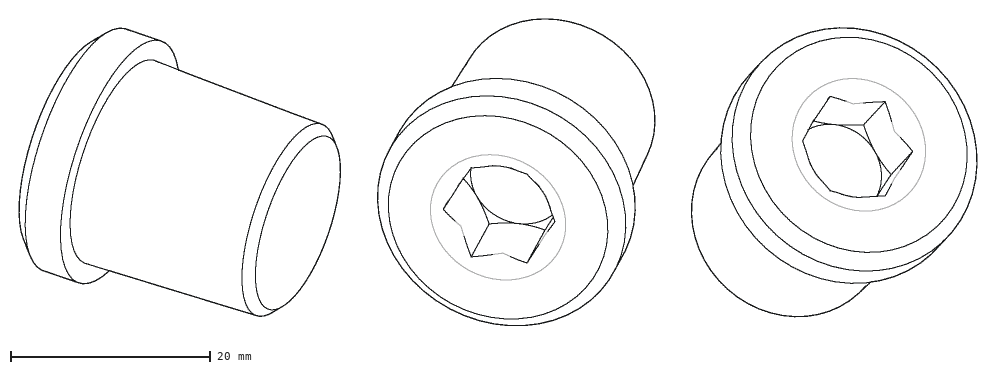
import cadquery as cq
import math

length = 25.7
head_diameter = 25.7

head_length = 5.5
head_chamfer = 1.5

shank_end_diameter = 20.35
shank_taper = 1 / 16
tip_chamfer = 1.0

hex_across_flats = 10.0
socket_corner_depth = 8.0
mouth_radius = 2.0
drill_point_angle = 140.0

head_radius = head_diameter / 2
shank_end_radius = shank_end_diameter / 2
shank_end_x = length - tip_chamfer
shank_root_radius = shank_end_radius + (shank_end_x - head_length) * shank_taper / 2
bore_radius = hex_across_flats / 2
hex_corner_radius = bore_radius / math.cos(math.radians(30))
bore_depth = socket_corner_depth + hex_corner_radius - bore_radius
drill_point_length = bore_radius / math.tan(math.radians(drill_point_angle / 2))


def revolve_about_x(profile):
    """Close an (x, radius) profile and turn it around the X axis."""
    return profile.close().revolve(360, (0, 0, 0), (1, 0, 0))


def make_body():
    """Chamfered head followed by the tapered shank."""
    profile = cq.Workplane("XZ").polyline([
        (0, 0),
        (0, head_radius - head_chamfer),
        (head_chamfer, head_radius),
        (head_length, head_radius),
        (head_length, shank_root_radius),
        (shank_end_x, shank_end_radius),
        (length, shank_end_radius - tip_chamfer),
        (length, 0),
    ])
    return revolve_about_x(profile)


def make_bore():
    """Round bore with a mouth rounded tangentially into the head face and a conical end."""
    arc_middle = mouth_radius * (1 - math.sqrt(0.5))
    profile = (
        cq.Workplane("XZ")
        .lineTo(0, bore_radius + mouth_radius)
        .threePointArc((arc_middle, bore_radius + arc_middle), (mouth_radius, bore_radius))
        .lineTo(bore_depth, bore_radius)
        .lineTo(bore_depth + drill_point_length, 0)
    )
    return revolve_about_x(profile)


def make_hex_socket():
    """Hexagonal prism with two corners along Y; a 45 degree cone slopes its corners into the bore."""
    prism = cq.Workplane("YZ").polygon(6, 2 * hex_corner_radius).extrude(bore_depth)
    envelope = cq.Workplane("XZ").polyline([
        (0, 0),
        (0, hex_corner_radius),
        (socket_corner_depth, hex_corner_radius),
        (bore_depth, bore_radius),
        (bore_depth, 0),
    ])
    return prism.intersect(revolve_about_x(envelope))


result = make_body().cut(make_bore()).cut(make_hex_socket())